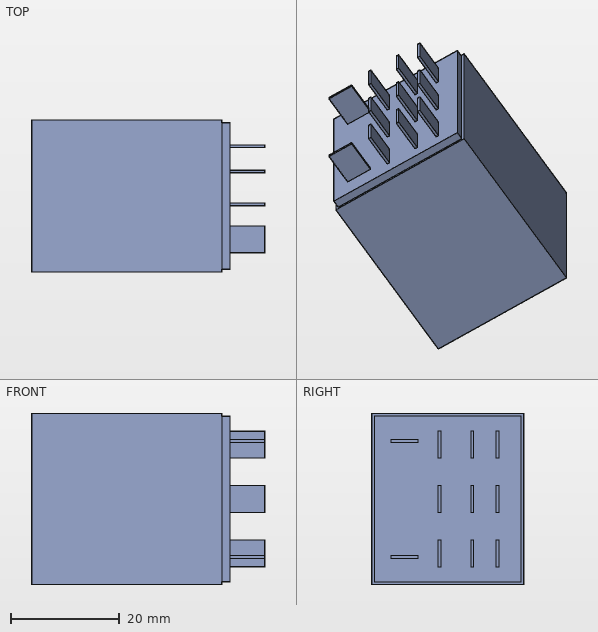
import cadquery as cq

total_length = 42.9
width = 28.0
height = 31.5
case_length = 35.0
base_length = 1.5
base_inset = 0.5

blade_width = 4.98
blade_thickness = 0.5
contact_columns_y = (9.15, 4.5, -1.55)
contact_row_pitch = 10.0
coil_y = -8.0
coil_z = 10.7

base_end = case_length + base_length
blade_length = total_length - base_end


def block(start_x, length, size_y, size_z, y=0, z=0):
    """Box running along +X from start_x, centred on (y, z)."""
    return (
        cq.Workplane("XY")
        .box(length, size_y, size_z, centered=(False, True, True))
        .translate((start_x, y, z))
    )


result = block(0, case_length, width, height)
base = block(case_length, base_length, width - 2 * base_inset, height - 2 * base_inset)
result = result.union(base)

for y in contact_columns_y:
    for row in (-1, 0, 1):
        z = row * contact_row_pitch
        result = result.union(block(base_end, blade_length, blade_thickness, blade_width, y, z))

for z in (-coil_z, coil_z):
    result = result.union(block(base_end, blade_length, blade_width, blade_thickness, coil_y, z))